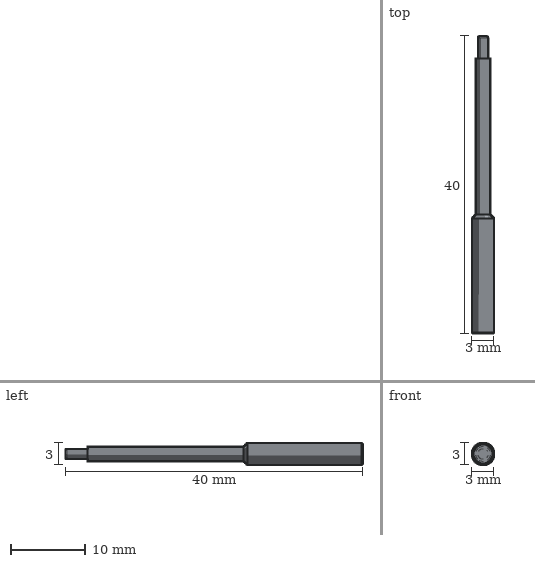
import cadquery as cq

total_length = 40.0
handle_length = 15.5
tip_length = 3.0

handle_diameter = 3.0
shaft_diameter = 2.0
tip_diameter = 1.4

handle_chamfer = 0.2
tip_fillet = 0.3

handle_radius = handle_diameter / 2
shaft_radius = shaft_diameter / 2
tip_radius = tip_diameter / 2
shoulder_length = handle_radius - shaft_radius

handle_end = -total_length / 2
shoulder_start = handle_end + handle_length
shoulder_end = shoulder_start + shoulder_length
tip_end = total_length / 2
tip_start = tip_end - tip_length

profile = [
    (0, handle_end),
    (handle_radius - handle_chamfer, handle_end),
    (handle_radius, handle_end + handle_chamfer),
    (handle_radius, shoulder_start),
    (shaft_radius, shoulder_end),
    (shaft_radius, tip_start),
    (tip_radius, tip_start),
    (tip_radius, tip_end),
    (0, tip_end),
]

pin = cq.Workplane("XY").polyline(profile).close().revolve(360, (0, 0, 0), (0, 1, 0))
result = pin.faces(">Y").edges().fillet(tip_fillet)